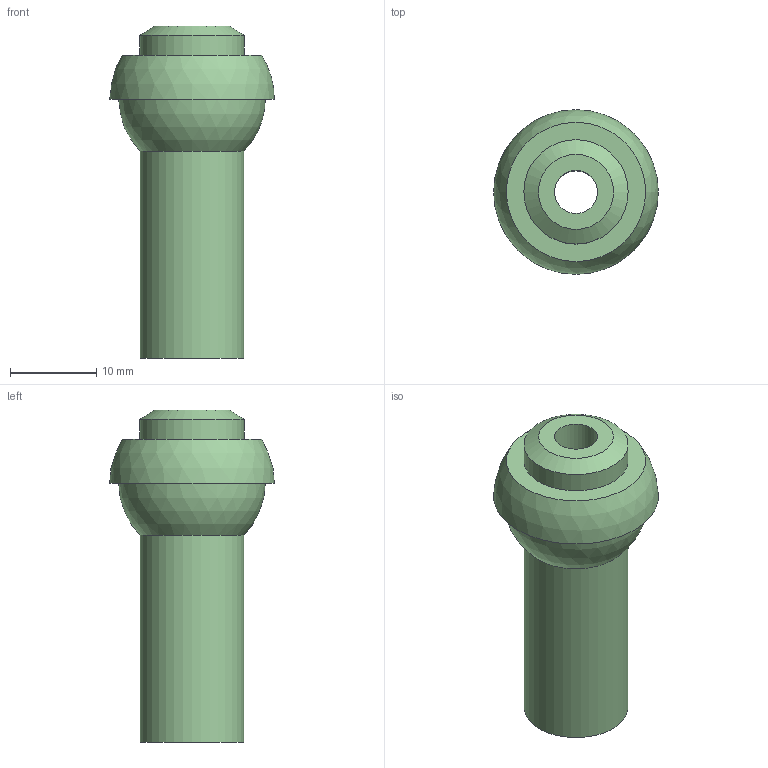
import math

import cadquery as cq

total_height = 38.5
bore_radius = 2.5

stem_radius = 6.0

rim_z = 30.0
ball_radius = 8.5
cap_radius = 9.55
cap_height = 5.1
shoulder_z = rim_z + cap_height

neck_radius = 6.05
top_face_radius = 4.35
bevel_height = 1.1
neck_top_z = total_height - bevel_height


def point_on_sphere(radius, latitude):
    """Profile point (distance from axis, Z) on a sphere centred in the rim plane."""
    return (radius * math.cos(latitude), rim_z + radius * math.sin(latitude))


def revolved_body():
    """Stem, ball, cap and neck as one solid of revolution about Z, bore included."""
    stem_latitude = -math.acos(stem_radius / ball_radius)
    shoulder_latitude = math.asin(cap_height / cap_radius)
    ball_middle = point_on_sphere(ball_radius, stem_latitude / 2)
    cap_middle = point_on_sphere(cap_radius, shoulder_latitude / 2)

    profile = (
        cq.Workplane("XZ")
        .moveTo(bore_radius, 0)
        .lineTo(stem_radius, 0)
        .lineTo(*point_on_sphere(ball_radius, stem_latitude))
        .threePointArc(ball_middle, (ball_radius, rim_z))
        .lineTo(cap_radius, rim_z)
        .threePointArc(cap_middle, point_on_sphere(cap_radius, shoulder_latitude))
        .lineTo(neck_radius, shoulder_z)
        .lineTo(neck_radius, neck_top_z)
        .lineTo(top_face_radius, total_height)
        .lineTo(bore_radius, total_height)
        .close()
    )
    return profile.revolve(360, (0, 0, 0), (0, 1, 0))


result = revolved_body()